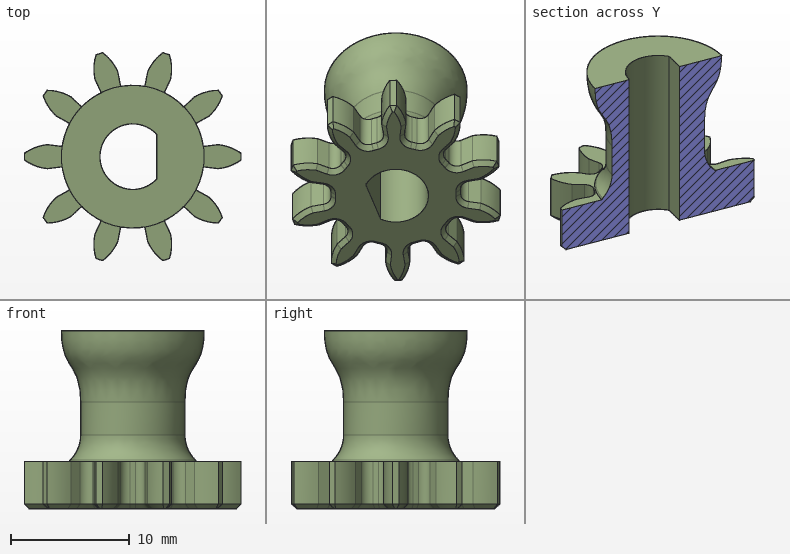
import cadquery as cq
import math

total_height = 15.0

tooth_count = 10
gear_height = 4.0
tip_radius = 9.12
tip_half_width = 0.3
crown_mid = (8.24, 0.77)
shoulder = (7.18, 1.02)
waist = (6.16, 0.9)
root_radius = 5.47
root_fillet = 0.8
bottom_chamfer = 0.4

neck_diameter = 8.8
neck_radius = neck_diameter / 2
head_radius = 6.02
neck_bottom = 6.2
neck_top = 9.0
head_pull = 3.46
lip_height = 0.13
flare_bottom = gear_height + lip_height
flare_radius = 5.27
skirt_radius = 5.36

bore_diameter = 5.5
flat_offset = 2.0


def tooth():
    """One tooth pointing along +X, its straight flanks running on into the root disc."""
    slope = (shoulder[1] - waist[1]) / (shoulder[0] - waist[0])
    base_x = root_radius - root_fillet
    base_half_width = waist[1] - slope * (waist[0] - base_x)
    return (
        cq.Workplane("XY")
        .moveTo(base_x, -base_half_width)
        .lineTo(shoulder[0], -shoulder[1])
        .threePointArc((crown_mid[0], -crown_mid[1]), (tip_radius, -tip_half_width))
        .lineTo(tip_radius, tip_half_width)
        .threePointArc(crown_mid, shoulder)
        .lineTo(base_x, base_half_width)
        .close()
        .extrude(gear_height)
    )


def gear():
    """Toothed disc with rounded tooth roots and a chamfer around its bottom outline."""
    body = cq.Workplane("XY").circle(root_radius).extrude(gear_height)
    single = tooth()
    for index in range(tooth_count):
        body = body.union(single.rotate((0, 0, 0), (0, 0, 1), index * 360 / tooth_count))
    between_root_and_waist = (root_radius + waist[0]) / 2
    root_edges = body.edges("|Z").filter(
        lambda edge: math.hypot(edge.Center().x, edge.Center().y) < between_root_and_waist
    )
    body = body.newObject(root_edges.vals()).fillet(root_fillet)
    return body.faces("<Z").edges().chamfer(bottom_chamfer)


def hub():
    """Turned hub: skirt, flare tangent to the neck, neck, and a head reached by an S-curve.

    The skirt starts above the gear's bottom chamfer so that it does not fill the chamfer in.
    """
    flare_height = neck_bottom - flare_bottom
    flare_width = flare_radius - neck_radius
    arc_radius = (flare_width**2 + flare_height**2) / (2 * flare_width)
    half_turn = math.atan2(flare_width, flare_height)
    flare_mid = (
        neck_radius + arc_radius * (1 - math.cos(half_turn)),
        neck_bottom - arc_radius * math.sin(half_turn),
    )
    head_curve = [
        (neck_radius, neck_top),
        (neck_radius, neck_top + head_pull),
        (head_radius, total_height - head_pull),
        (head_radius, total_height),
    ]
    return (
        cq.Workplane("XZ")
        .moveTo(0, bottom_chamfer)
        .lineTo(skirt_radius, bottom_chamfer)
        .lineTo(skirt_radius, gear_height)
        .lineTo(flare_radius, flare_bottom)
        .threePointArc(flare_mid, (neck_radius, neck_bottom))
        .lineTo(neck_radius, neck_top)
        .bezier(head_curve)
        .lineTo(0, total_height)
        .close()
        .revolve(360, (0, 0, 0), (0, 1, 0))
    )


def bore():
    """Through hole with one flat on its +X side."""
    flat_cut = cq.Workplane("XY").box(
        bore_diameter, bore_diameter, total_height, centered=(False, True, False)
    )
    round_bore = cq.Workplane("XY").circle(bore_diameter / 2).extrude(total_height)
    return round_bore.cut(flat_cut.translate((flat_offset, 0, 0)))


result = gear().union(hub()).cut(bore())